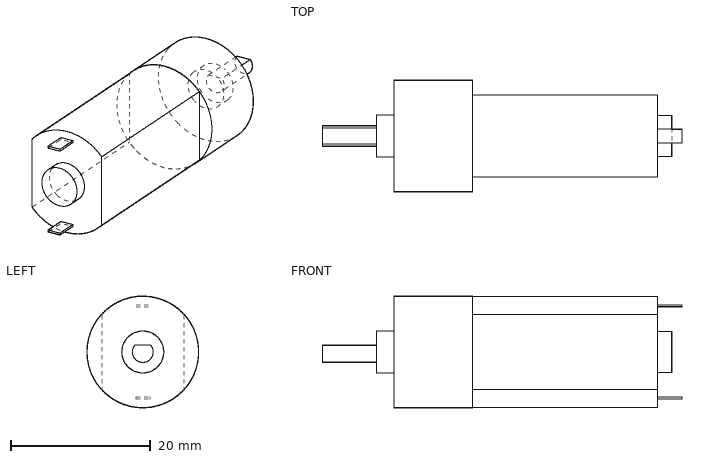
import cadquery as cq

total_length = 51.5
gearbox_diameter = 16.0

shaft_length = 7.7
shaft_diameter = 3.0
shaft_flat_height = 1.0

front_boss_length = 2.5
front_boss_diameter = 6.0
gearbox_length = 11.3

rear_boss_length = 2.0
rear_boss_diameter = 5.9
motor_diameter = 15.9
motor_width = 11.75

terminal_length = 3.5
terminal_width = 2.0
terminal_thickness = 0.3
terminal_offset = 6.6

boss_start = shaft_length
gearbox_start = boss_start + front_boss_length
motor_start = gearbox_start + gearbox_length
motor_end = total_length - terminal_length
motor_length = motor_end - motor_start


def cylinder(start, length, diameter):
    """Cylinder on the motor axis."""
    return cq.Workplane("YZ", origin=(start, 0, 0)).circle(diameter / 2).extrude(length)


def block(start, length, width, height, center_z=0):
    """Box centred on Y = 0 that extends along +X."""
    return cq.Workplane("YZ", origin=(start, 0, center_z)).rect(width, height).extrude(length)


def output_shaft():
    """D-shaped shaft with its flat facing up."""
    lower_edge = -shaft_diameter / 2
    height = shaft_flat_height - lower_edge
    center_z = (shaft_flat_height + lower_edge) / 2
    envelope = block(0, shaft_length, shaft_diameter, height, center_z)
    return cylinder(0, shaft_length, shaft_diameter).intersect(envelope)


def motor_can():
    """Round can with a flat on each side."""
    envelope = block(motor_start, motor_length, motor_width, motor_diameter)
    return cylinder(motor_start, motor_length, motor_diameter).intersect(envelope)


result = (
    cylinder(boss_start, front_boss_length, front_boss_diameter)
    .union(output_shaft())
    .union(cylinder(gearbox_start, gearbox_length, gearbox_diameter))
    .union(motor_can())
    .union(cylinder(motor_end, rear_boss_length, rear_boss_diameter))
)

for center_z in (-terminal_offset, terminal_offset):
    result = result.union(
        block(motor_end, terminal_length, terminal_width, terminal_thickness, center_z)
    )